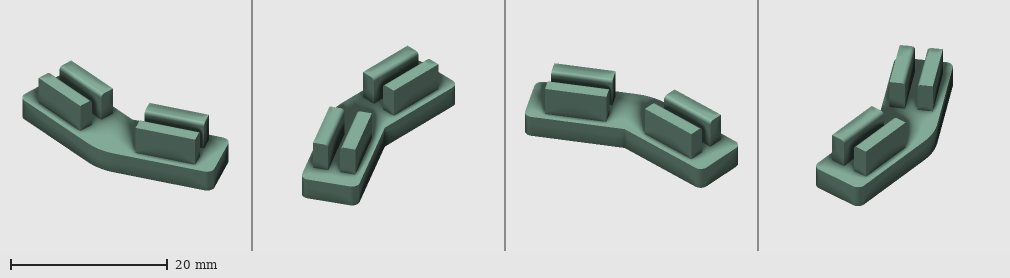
import cadquery as cq
import math

overall_length = 28.05
bend_angle = 30.0
base_height = 3.0
rib_height = 3.98
rib_length = 8.0
rib_thickness = 2.0
rib_gap = 1.6
side_margin = 1.0
corner_radius = 1.0
rib_fillet = 0.5

width = 2 * (rib_thickness + side_margin) + rib_gap
sin_bend = math.sin(math.radians(bend_angle))
cos_bend = math.cos(math.radians(bend_angle))
arm_length = (
    overall_length - corner_radius - (width - corner_radius) * sin_bend + corner_radius * cos_bend
) / (1 + cos_bend)


def make_arm(direction):
    """Arm along X from the inner bend corner, with its outer edge at Y = -width."""
    center_x = direction * arm_length / 2
    center_y = -width / 2
    plate = (
        cq.Workplane("XY")
        .center(center_x, center_y)
        .rect(arm_length, width)
        .extrude(base_height)
    )
    end_edges = ">X and |Z" if direction > 0 else "<X and |Z"
    arm = plate.edges(end_edges).fillet(corner_radius)

    for side in (-1, 1):
        rib_y = center_y + side * (rib_gap + rib_thickness) / 2
        rib = (
            cq.Workplane("XY", origin=(center_x, rib_y, base_height))
            .rect(rib_length, rib_thickness)
            .extrude(rib_height)
        )
        inner_edge = "<Y" if side > 0 else ">Y"
        rib = rib.faces(">Z").edges(inner_edge).fillet(rib_fillet)
        arm = arm.union(rib)
    return arm


def make_bend():
    """Circular sector joining the arms, centered on the inner bend corner."""
    half_angle = math.radians(bend_angle / 2)
    return (
        cq.Workplane("XY")
        .lineTo(0, -width)
        .threePointArc(
            (width * math.sin(half_angle), -width * math.cos(half_angle)),
            (width * sin_bend, -width * cos_bend),
        )
        .close()
        .extrude(base_height)
    )


straight_arm = make_arm(-1)
bent_arm = make_arm(1).rotate((0, 0, 0), (0, 0, 1), bend_angle)
result = straight_arm.union(make_bend()).union(bent_arm)